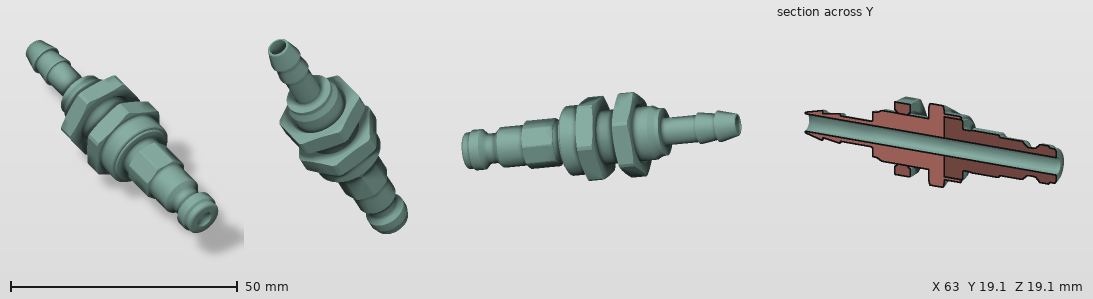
import cadquery as cq
import math


total_length = 63.0
bore_dia = 4.0
hex_sides = 6
hex_across_flats = 17.0
hex_corner_dia = 19.15
hex_thickness = 4.0
hex_chamfer = 0.25
thread_dia = 12.0

tip_dia = 5.0
tip_chamfer = 0.2
barb_dia = 7.0
barb_land = 0.4
barb_1_end = 4.5
barb_2_end = 8.95
barb_2_start_dia = 5.75
stem_dia = 6.05
stem_fillet = 0.45

shoulder_dia = 10.6
shoulder_start = 16.95
shoulder_end = 17.9
thread_start = 19.3
hex_start = 31.0
hex_end = hex_start + hex_thickness
hex_turn = 90.0
collar_dia = 15.5
collar_end = 39.2
collar_chamfer = 0.25
collar_fillet = 0.2

nut_start = 22.5
nut_tilt = -2.0
nut_countersink_dia = 13.35

seat_dia = 13.85
seat_start = hex_end
flange_end = 39.6
flange_chamfer = 0.2
neck_dia = 9.7
neck_fillet = 0.3
octagon_sides = 8
octagon_across_flats = 10.0
octagon_corner_dia = 10.7
octagon_start = 41.5
octagon_end = 48.7
octagon_chamfer = 0.2
octagon_fillet = 0.4
plug_dia = 9.0
groove_dia = 6.7
groove_start = 54.55
groove_end = 58.9
groove_wall_angle = 45.0
groove_fillet = 1.0
nose_dia = 8.1
nose_start = 61.5
nose_fillet = 0.6


def revolve_about_x(profile):
    """Close an outline drawn as (X, radius) points and turn it about the X axis."""
    return profile.close().revolve(360, (0, 0, 0), (1, 0, 0))


def cylinder(start, end, diameter):
    return cq.Workplane("YZ").workplane(offset=start).circle(diameter / 2).extrude(end - start)


def chamfered_prism(sides, across_flats, corner_dia, chamfer, start, end, turn):
    """Regular prism along X, its corners rounded off and chamfered at both ends.

    A turn of 0 degrees leaves one corner on the +Y side.
    """
    vertex_dia = across_flats / math.cos(math.pi / sides)
    prism = (
        cq.Workplane("YZ")
        .workplane(offset=start)
        .polygon(sides, vertex_dia)
        .extrude(end - start)
        .rotate((0, 0, 0), (1, 0, 0), turn)
    )
    flat_r = across_flats / 2
    corner_r = corner_dia / 2
    envelope = revolve_about_x(
        cq.Workplane("XY")
        .moveTo(start, 0)
        .lineTo(start, flat_r)
        .lineTo(start + chamfer, corner_r)
        .lineTo(end - chamfer, corner_r)
        .lineTo(end, flat_r)
        .lineTo(end, 0)
    )
    return prism.intersect(envelope)


def inner_fillet(profile, corner_x, corner_r, size, side):
    """Concave quarter arc between the current radial face and a cylinder.

    side is -1 when the cylinder lies to the left of the face and +1 when it lies to the right.
    """
    face_point = (corner_x, corner_r + size)
    cylinder_point = (corner_x + side * size, corner_r)
    offset = size * (1 - math.sqrt(0.5))
    middle = (corner_x + side * offset, corner_r + offset)
    finish = face_point if side < 0 else cylinder_point
    begin = cylinder_point if side < 0 else face_point
    return profile.lineTo(*begin).threePointArc(middle, finish)


def make_housing():
    tail = (
        cq.Workplane("XY")
        .moveTo(0, 0)
        .lineTo(0, tip_dia / 2 - tip_chamfer)
        .lineTo(tip_chamfer, tip_dia / 2)
        .lineTo(barb_1_end - barb_land, barb_dia / 2)
        .lineTo(barb_1_end, barb_dia / 2)
        .lineTo(barb_1_end, barb_2_start_dia / 2)
        .lineTo(barb_2_end - barb_land, barb_dia / 2)
        .lineTo(barb_2_end, barb_dia / 2)
        .lineTo(barb_2_end, stem_dia / 2)
    )
    tail = inner_fillet(tail, shoulder_start, stem_dia / 2, stem_fillet, -1)
    tail = (
        tail.lineTo(shoulder_start, shoulder_dia / 2)
        .lineTo(shoulder_end, shoulder_dia / 2)
        .lineTo(thread_start, thread_dia / 2)
        .lineTo(hex_end, thread_dia / 2)
        .lineTo(hex_end, 0)
    )

    collar = cq.Workplane("XY").moveTo(hex_end, 0)
    collar = inner_fillet(collar, hex_end, collar_dia / 2, collar_fillet, 1)
    collar = (
        collar.lineTo(collar_end - collar_chamfer, collar_dia / 2)
        .lineTo(collar_end, collar_dia / 2 - collar_chamfer)
        .lineTo(collar_end, 0)
    )

    hexagon = chamfered_prism(
        hex_sides, hex_across_flats, hex_corner_dia, hex_chamfer, hex_start, hex_end, hex_turn
    )
    return (
        revolve_about_x(tail)
        .union(hexagon)
        .union(revolve_about_x(collar))
        .cut(cylinder(seat_start, collar_end, seat_dia))
        .cut(cylinder(0, total_length, bore_dia))
    )


def make_nut():
    nut_end = nut_start + hex_thickness
    countersink_depth = (nut_countersink_dia - thread_dia) / 2
    hole = revolve_about_x(
        cq.Workplane("XY")
        .moveTo(nut_start, 0)
        .lineTo(nut_start, nut_countersink_dia / 2)
        .lineTo(nut_start + countersink_depth, thread_dia / 2)
        .lineTo(nut_end - countersink_depth, thread_dia / 2)
        .lineTo(nut_end, nut_countersink_dia / 2)
        .lineTo(nut_end, 0)
    )
    hexagon = chamfered_prism(
        hex_sides, hex_across_flats, hex_corner_dia, hex_chamfer, nut_start, nut_end, nut_tilt
    )
    return hexagon.cut(hole)


def make_groove_cutter():
    """Ring groove with sloped walls that blend into its floor."""
    plug_r = plug_dia / 2
    floor_r = groove_dia / 2
    wall_angle = math.radians(groove_wall_angle)
    blend_run = groove_fillet * math.sin(wall_angle)
    blend_rise = groove_fillet * (1 - math.cos(wall_angle))
    middle_run = blend_run - groove_fillet * math.sin(wall_angle / 2)
    middle_rise = groove_fillet * (1 - math.cos(wall_angle / 2))
    wall_run = (plug_r - floor_r - blend_rise) / math.tan(wall_angle)
    left_wall = groove_start + wall_run
    right_wall = groove_end - wall_run
    return revolve_about_x(
        cq.Workplane("XY")
        .moveTo(groove_start, plug_r)
        .lineTo(left_wall, floor_r + blend_rise)
        .threePointArc((left_wall + middle_run, floor_r + middle_rise), (left_wall + blend_run, floor_r))
        .lineTo(right_wall - blend_run, floor_r)
        .threePointArc((right_wall - middle_run, floor_r + middle_rise), (right_wall, floor_r + blend_rise))
        .lineTo(groove_end, plug_r)
    )


def make_plug():
    base = (
        cq.Workplane("XY")
        .moveTo(seat_start, 0)
        .lineTo(seat_start, seat_dia / 2)
        .lineTo(flange_end - flange_chamfer, seat_dia / 2)
        .lineTo(flange_end, seat_dia / 2 - flange_chamfer)
    )
    base = inner_fillet(base, flange_end, neck_dia / 2, neck_fillet, 1)
    base = base.lineTo(octagon_end, neck_dia / 2).lineTo(octagon_end, 0)

    nose_step = (plug_dia - nose_dia) / 2
    shank = cq.Workplane("XY").moveTo(octagon_end, 0)
    shank = inner_fillet(shank, octagon_end, plug_dia / 2, octagon_fillet, 1)
    shank = (
        shank.lineTo(nose_start - nose_step, plug_dia / 2)
        .lineTo(nose_start, nose_dia / 2)
        .lineTo(total_length, nose_dia / 2)
        .lineTo(total_length, 0)
    )
    rounded_shank = revolve_about_x(shank).faces(">X").edges().fillet(nose_fillet)

    half_side_angle = 180 / octagon_sides
    octagon = chamfered_prism(
        octagon_sides, octagon_across_flats, octagon_corner_dia, octagon_chamfer,
        octagon_start, octagon_end, half_side_angle,
    )
    return (
        revolve_about_x(base)
        .union(octagon)
        .union(rounded_shank)
        .cut(make_groove_cutter())
        .cut(cylinder(0, total_length, bore_dia))
    )


housing = make_housing()
nut = make_nut()
plug = make_plug()

result = cq.Compound.makeCompound([housing.val(), nut.val(), plug.val()])